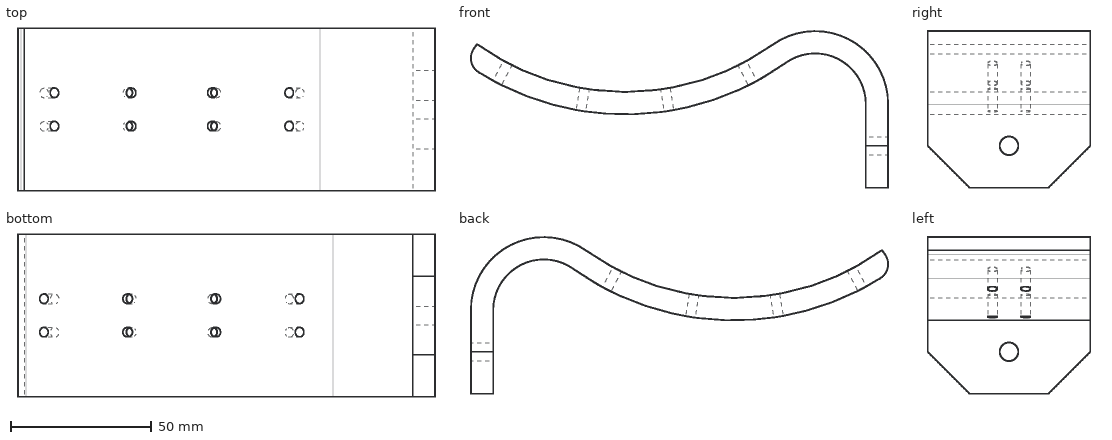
import cadquery as cq
import math

length = 148.9
width = 58.0
height = 56.0
thickness = 8.0

bend_outer_radius = 26.0
bend_inner_radius = bend_outer_radius - thickness
bend_x = length - bend_outer_radius
bend_z = height - bend_outer_radius

cradle_inner_radius = 90.4
cradle_outer_radius = cradle_inner_radius + thickness
cradle_low_z = 34.2
cradle_z = cradle_low_z + cradle_inner_radius
center_distance = cradle_inner_radius + bend_outer_radius
cradle_x = bend_x - math.sqrt(center_distance**2 - (cradle_z - bend_z) ** 2)
joint_angle = math.degrees(math.asin((bend_x - cradle_x) / center_distance))
tip_angle = -35.8
tip_round_radius = 6.0

small_hole_diameter = 3.4
small_hole_row_spacing = 11.9
small_hole_columns = 4
small_hole_pitch_angle = 18.4
small_hole_center_angle = (tip_angle + joint_angle) / 2

tab_chamfer = 15.0
tab_hole_diameter = 6.5
tab_hole_z = 15.0


def cradle_point(radius, angle):
    """XZ point on the cradle; the angle is in degrees from straight down, positive toward +X."""
    turn = math.radians(angle)
    return (cradle_x + radius * math.sin(turn), cradle_z - radius * math.cos(turn))


def bend_point(radius, angle):
    """XZ point on the hook bend; the angle is in degrees from straight up, positive toward +X."""
    turn = math.radians(angle)
    return (bend_x + radius * math.sin(turn), bend_z + radius * math.cos(turn))


def make_strip():
    """Constant-thickness strip: cradle, hook bend and vertical tab."""
    cradle_middle = (tip_angle + joint_angle) / 2
    bend_middle = (90 - joint_angle) / 2
    strip = (
        cq.Workplane("XZ")
        .moveTo(*cradle_point(cradle_inner_radius, tip_angle))
        .threePointArc(
            cradle_point(cradle_inner_radius, cradle_middle),
            cradle_point(cradle_inner_radius, joint_angle),
        )
        .threePointArc(bend_point(bend_outer_radius, bend_middle), (length, bend_z))
        .lineTo(length, 0)
        .lineTo(length - thickness, 0)
        .lineTo(length - thickness, bend_z)
        .threePointArc(
            bend_point(bend_inner_radius, bend_middle),
            bend_point(bend_inner_radius, -joint_angle),
        )
        .threePointArc(
            cradle_point(cradle_outer_radius, cradle_middle),
            cradle_point(cradle_outer_radius, tip_angle),
        )
        .close()
        .extrude(width / 2, both=True)
    )
    tip_x, tip_z = cradle_point(cradle_outer_radius, tip_angle)
    lower_tip_edge = cq.selectors.NearestToPointSelector((tip_x, 0, tip_z))
    return strip.edges("|Y").edges(lower_tip_edge).fillet(tip_round_radius)


def chamfer_tab(strip):
    """Cut both lower corners of the tab."""
    return strip.faces("<Z").edges("|X").chamfer(tab_chamfer)


def drill_cradle(strip):
    """Drill the small holes through the cradle, square to its surface."""
    drill_length = 2 * thickness
    start_radius = cradle_inner_radius - thickness / 2
    for column in range(small_hole_columns):
        column_offset = column - (small_hole_columns - 1) / 2
        angle = small_hole_center_angle + column_offset * small_hole_pitch_angle
        turn = math.radians(angle)
        direction = cq.Vector(math.sin(turn), 0, -math.cos(turn))
        start_x, start_z = cradle_point(start_radius, angle)
        for side in (-1, 1):
            start = cq.Vector(start_x, side * small_hole_row_spacing / 2, start_z)
            strip = strip.cut(
                cq.Solid.makeCylinder(small_hole_diameter / 2, drill_length, start, direction)
            )
    return strip


def drill_tab(strip):
    """Drill the mounting hole through the tab along X."""
    drill = (
        cq.Workplane("YZ", origin=(length - thickness, 0, tab_hole_z))
        .circle(tab_hole_diameter / 2)
        .extrude(thickness)
    )
    return strip.cut(drill)


result = make_strip()
result = chamfer_tab(result)
result = drill_cradle(result)
result = drill_tab(result)